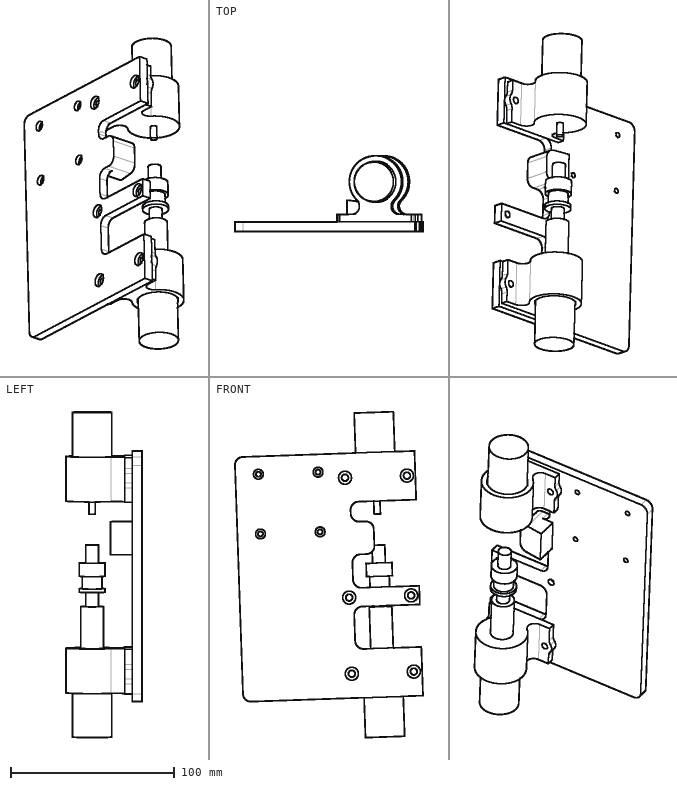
import cadquery as cq
import math

TILT = -2.0

AXIAL_LENGTH = 199.0
MID_Z = AXIAL_LENGTH / 2
AXIS_Y = 24.5

PLATE_THICKNESS = 6.0
PLATE_HEIGHT = 150.0
PLATE_LEFT = -86.0
PLATE_RIGHT = 24.2
PLATE_BOTTOM = MID_Z - PLATE_HEIGHT / 2
PLATE_TOP = MID_Z + PLATE_HEIGHT / 2
CORNER_RADIUS = 5.0
END_ARM_HEIGHT = 30.0
LOWER_ARM_TOP = PLATE_BOTTOM + END_ARM_HEIGHT
UPPER_ARM_BOTTOM = PLATE_TOP - END_ARM_HEIGHT
NOTCH_LEFT = -16.2
MIDDLE_ARM_Z = 86.0
MIDDLE_ARM_HEIGHT = 11.5

LUG_BOTTOM = 112.3
LUG_TOP = 132.5
LUG_RIGHT = -2.4
BLOCK_LEFT = -18.8
BLOCK_HEIGHT_LEFT = 13.4
BLOCK_HEIGHT_RIGHT = 11.0

BRACKET_SCREW_X = 19.0
LOWER_SCREW_Z = PLATE_BOTTOM + END_ARM_HEIGHT / 2
UPPER_SCREW_Z = PLATE_TOP - END_ARM_HEIGHT / 2
BRACKET_SCREW_DIAMETER = 4.0
BRACKET_HEAD_DIAMETER = 8.0
BOARD_SCREW_DIAMETER = 3.0
BOARD_HEAD_DIAMETER = 6.0
HEAD_DEPTH = 2.5
BOARD_HOLE_PITCH = 36.5
BOARD_HOLE_INSET_X = 14.2
BOARD_HOLE_INSET_Z = 11.0

BRACKET_LENGTH = 27.4
BRACKET_BORE = 25.2
BRACKET_WALL = 3.0
RING_RADIUS = 16.0
FOOT_HEIGHT = 4.5
FOOT_HALF_WIDTH = 22.0
NECK_FILLET = 5.0
EAR_RADIUS = 5.0
EAR_FILLET = 5.0

MOTOR_DIAMETER = 24.2
MOTOR_LENGTH = LOWER_ARM_TOP - BRACKET_WALL
MOTOR_SHAFT_DIAMETER = 4.0
SHAFT_REACH = 8.0
MOTOR_SHAFT_LENGTH = BRACKET_WALL + SHAFT_REACH

COUPLING_BOTTOM = LOWER_ARM_TOP
COUPLING_DIAMETER = 14.0
COUPLING_TOP = 79.9
SHAFT_DIAMETER = 8.0
SHAFT_BOTTOM = COUPLING_BOTTOM + SHAFT_REACH
SHAFT_TOP = 117.7
PULLEY_DIAMETER = 16.0
PULLEY_BELT_DIAMETER = 12.2
PULLEY_BOTTOM = 88.7
PULLEY_FLANGE = 2.2
PULLEY_BELT_LENGTH = 7.5
PULLEY_HUB_LENGTH = 8.2


def cylinder(diameter, bottom, top):
    """Cylinder on the motor axis between two heights."""
    return cq.Workplane("XY", origin=(0, AXIS_Y, bottom)).circle(diameter / 2).extrude(top - bottom)


def drill(body, diameter, places, start, end):
    """Cut round holes along Y, from start to end, at the given (x, z) places."""
    for x, z in places:
        hole = cq.Workplane("XZ", origin=(x, start, z)).circle(diameter / 2).extrude(start - end)
        body = body.cut(hole)
    return body


def round_corners(body, corner_x):
    """Round the corners that run along Y and lie on the upright line X = corner_x."""
    margin = 0.2
    corners = cq.selectors.BoxSelector(
        (corner_x - margin, -PLATE_THICKNESS - margin, PLATE_BOTTOM - margin),
        (corner_x + margin, BLOCK_HEIGHT_LEFT, PLATE_TOP + margin),
    )
    return body.edges("|Y").edges(corners).fillet(CORNER_RADIUS)


def make_plate_sheet():
    """Flat sheet with two end arms, a thin middle arm and a short lug on its right side."""
    arm_bottom = MIDDLE_ARM_Z - MIDDLE_ARM_HEIGHT / 2
    arm_top = MIDDLE_ARM_Z + MIDDLE_ARM_HEIGHT / 2
    outline = [
        (PLATE_LEFT, PLATE_BOTTOM),
        (PLATE_RIGHT, PLATE_BOTTOM),
        (PLATE_RIGHT, LOWER_ARM_TOP),
        (NOTCH_LEFT, LOWER_ARM_TOP),
        (NOTCH_LEFT, arm_bottom),
        (PLATE_RIGHT, arm_bottom),
        (PLATE_RIGHT, arm_top),
        (NOTCH_LEFT, arm_top),
        (NOTCH_LEFT, LUG_BOTTOM),
        (LUG_RIGHT, LUG_BOTTOM),
        (LUG_RIGHT, LUG_TOP),
        (NOTCH_LEFT, LUG_TOP),
        (NOTCH_LEFT, UPPER_ARM_BOTTOM),
        (PLATE_RIGHT, UPPER_ARM_BOTTOM),
        (PLATE_RIGHT, PLATE_TOP),
        (PLATE_LEFT, PLATE_TOP),
    ]
    sheet = cq.Workplane("XZ").polyline(outline).close().extrude(PLATE_THICKNESS)
    for corner_x in (PLATE_LEFT, NOTCH_LEFT, LUG_RIGHT):
        sheet = round_corners(sheet, corner_x)
    return sheet


def make_lug_block():
    """Block that carries the lug outline up to a sloping top."""
    section = [
        (BLOCK_LEFT, -PLATE_THICKNESS),
        (LUG_RIGHT, -PLATE_THICKNESS),
        (LUG_RIGHT, BLOCK_HEIGHT_RIGHT),
        (BLOCK_LEFT, BLOCK_HEIGHT_LEFT),
    ]
    base = cq.Workplane("XY", origin=(0, 0, LUG_BOTTOM))
    block = base.polyline(section).close().extrude(LUG_TOP - LUG_BOTTOM)
    return round_corners(block, LUG_RIGHT)


def drill_plate(plate):
    """Counterbored screw holes for the brackets and for a square board, heads on the front."""
    bracket_holes = [
        (side * BRACKET_SCREW_X, z)
        for side in (-1, 1)
        for z in (LOWER_SCREW_Z, MIDDLE_ARM_Z, UPPER_SCREW_Z)
    ]
    board_left = PLATE_LEFT + BOARD_HOLE_INSET_X
    board_top = PLATE_TOP - BOARD_HOLE_INSET_Z
    board_holes = [
        (board_left + column * BOARD_HOLE_PITCH, board_top - row * BOARD_HOLE_PITCH)
        for column in range(2)
        for row in range(2)
    ]
    front = -PLATE_THICKNESS
    for holes, screw, head in (
        (bracket_holes, BRACKET_SCREW_DIAMETER, BRACKET_HEAD_DIAMETER),
        (board_holes, BOARD_SCREW_DIAMETER, BOARD_HEAD_DIAMETER),
    ):
        plate = drill(plate, screw, holes, front, 0)
        plate = drill(plate, head, holes, front, front + HEAD_DEPTH)
    return plate


def make_plate():
    return drill_plate(make_plate_sheet().union(make_lug_block()))


def make_bracket_profile():
    """Closed outline of foot, neck and ring, with neck fillets tangent to the foot and the ring."""
    fillet_y = FOOT_HEIGHT + NECK_FILLET
    rise = AXIS_Y - fillet_y
    centre_distance = RING_RADIUS + NECK_FILLET
    fillet_x = math.sqrt(centre_distance**2 - rise**2)
    ring_touch_x = fillet_x * RING_RADIUS / centre_distance
    ring_touch_y = AXIS_Y - rise * RING_RADIUS / centre_distance

    mid_angle = math.pi / 4 - math.atan2(rise, fillet_x) / 2
    arc_x = fillet_x - NECK_FILLET * math.cos(mid_angle)
    arc_y = fillet_y - NECK_FILLET * math.sin(mid_angle)
    return (
        cq.Workplane("XY")
        .moveTo(-FOOT_HALF_WIDTH, 0)
        .lineTo(FOOT_HALF_WIDTH, 0)
        .lineTo(FOOT_HALF_WIDTH, FOOT_HEIGHT)
        .lineTo(fillet_x, FOOT_HEIGHT)
        .threePointArc((arc_x, arc_y), (ring_touch_x, ring_touch_y))
        .threePointArc((0, AXIS_Y + RING_RADIUS), (-ring_touch_x, ring_touch_y))
        .threePointArc((-arc_x, arc_y), (-fillet_x, FOOT_HEIGHT))
        .lineTo(-FOOT_HALF_WIDTH, FOOT_HEIGHT)
        .close()
    )


def add_ears(body, screw_places):
    """Round ear around each screw, blended into the side of the foot, with its screw hole."""
    for x, z in screw_places:
        ear = cq.Workplane("XZ", origin=(x, 0, z)).circle(EAR_RADIUS).extrude(-FOOT_HEIGHT)
        body = body.union(ear)
        margin = 0.2
        side_x = math.copysign(FOOT_HALF_WIDTH, x)
        roots = cq.selectors.BoxSelector(
            (side_x - margin, 0, z - EAR_RADIUS), (side_x + margin, FOOT_HEIGHT, z + EAR_RADIUS)
        )
        body = body.edges("|Y").edges(roots).fillet(EAR_FILLET)
    return drill(body, BRACKET_SCREW_DIAMETER, screw_places, 0, FOOT_HEIGHT)


def make_bracket(wall_face, direction, screw_z):
    """Bracket whose end wall has its outer face at `wall_face`; it runs from there along `direction`."""
    open_end = wall_face + direction * BRACKET_LENGTH
    body = make_bracket_profile().extrude(BRACKET_LENGTH)
    body = body.translate((0, 0, min(wall_face, open_end)))
    body = add_ears(body, [(side * BRACKET_SCREW_X, screw_z) for side in (-1, 1)])
    body = body.cut(cylinder(BRACKET_BORE, wall_face + direction * BRACKET_WALL, open_end))
    return body.cut(cylinder(MOTOR_SHAFT_DIAMETER, wall_face, open_end))


def make_motor(end, direction):
    """Motor whose rear face is at height `end`, with its shaft pointing along `direction` (+1 or -1)."""
    face = end + direction * MOTOR_LENGTH
    motor = cylinder(MOTOR_DIAMETER, end, face)
    shaft = cylinder(MOTOR_SHAFT_DIAMETER, face, face + direction * MOTOR_SHAFT_LENGTH)
    return motor.union(shaft)


def make_coupling():
    """Sleeve standing on the lower bracket, joining the motor shaft to the pulley shaft."""
    sleeve = cylinder(COUPLING_DIAMETER, COUPLING_BOTTOM, COUPLING_TOP)
    sleeve = sleeve.cut(cylinder(MOTOR_SHAFT_DIAMETER, COUPLING_BOTTOM, SHAFT_BOTTOM))
    return sleeve.cut(cylinder(SHAFT_DIAMETER, SHAFT_BOTTOM, COUPLING_TOP))


def make_shaft():
    return cylinder(SHAFT_DIAMETER, SHAFT_BOTTOM, SHAFT_TOP)


def make_pulley():
    """Lower flange, belt seat and hub, bored for the shaft."""
    seat_bottom = PULLEY_BOTTOM + PULLEY_FLANGE
    seat_top = seat_bottom + PULLEY_BELT_LENGTH
    hub_top = seat_top + PULLEY_HUB_LENGTH
    pulley = cylinder(PULLEY_BELT_DIAMETER, PULLEY_BOTTOM, hub_top)
    pulley = pulley.union(cylinder(PULLEY_DIAMETER, PULLEY_BOTTOM, seat_bottom))
    pulley = pulley.union(cylinder(PULLEY_DIAMETER, seat_top, hub_top))
    return pulley.cut(cylinder(SHAFT_DIAMETER, PULLEY_BOTTOM, hub_top))


plate = make_plate()
brackets = [
    make_bracket(wall_face, direction, screw_z)
    for wall_face, direction, screw_z in (
        (LOWER_ARM_TOP, -1, LOWER_SCREW_Z),
        (UPPER_ARM_BOTTOM, 1, UPPER_SCREW_Z),
    )
]
motors = [make_motor(end, direction) for end, direction in ((0, 1), (AXIAL_LENGTH, -1))]
coupling = make_coupling()
shaft = make_shaft()
pulley = make_pulley()

bodies = [plate, *brackets, *motors, coupling, shaft, pulley]
result = cq.Compound.makeCompound(
    [body.solids().val().rotate(cq.Vector(0, 0, 0), cq.Vector(0, 1, 0), TILT) for body in bodies]
)